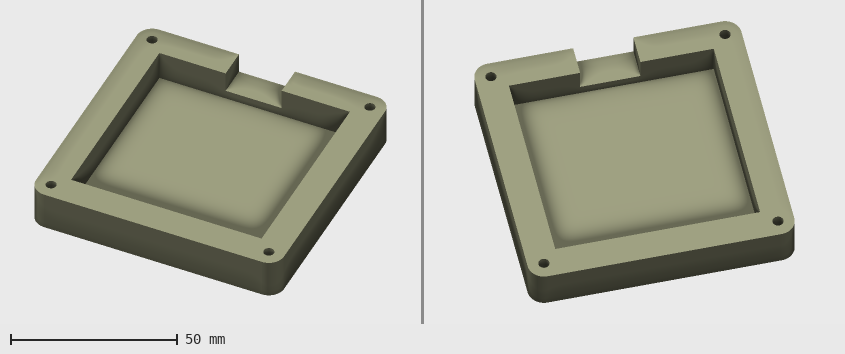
import cadquery as cq

side = 82.0
height = 13.0
corner_radius = 5.0

pocket_side = 63.0
pocket_depth = 10.0
wall = (side - pocket_side) / 2

hole_diameter = 3.4
hole_spacing = side - 2 * corner_radius

notch_width = 18.5
notch_depth = 7.0
notch_center_x = -0.3


def make_body():
    """Solid block with rounded vertical corners, resting on Z = 0."""
    block = cq.Workplane("XY").box(side, side, height, centered=(True, True, False))
    return block.edges("|Z").fillet(corner_radius)


def cut_pocket(body):
    """Square pocket open at the top."""
    return body.faces(">Z").workplane().rect(pocket_side, pocket_side).cutBlind(-pocket_depth)


def cut_notch(body):
    """Notch through the full thickness of the +Y wall, open at the top."""
    notch = (
        cq.Workplane("XY")
        .box(notch_width, wall, notch_depth, centered=(True, False, False))
        .translate((notch_center_x, pocket_side / 2, height - notch_depth))
    )
    return body.cut(notch)


def cut_corner_holes(body):
    """Through holes concentric with the rounded corners."""
    holes = (
        cq.Workplane("XY")
        .rect(hole_spacing, hole_spacing, forConstruction=True)
        .vertices()
        .circle(hole_diameter / 2)
        .extrude(height)
    )
    return body.cut(holes)


result = cut_corner_holes(cut_notch(cut_pocket(make_body())))